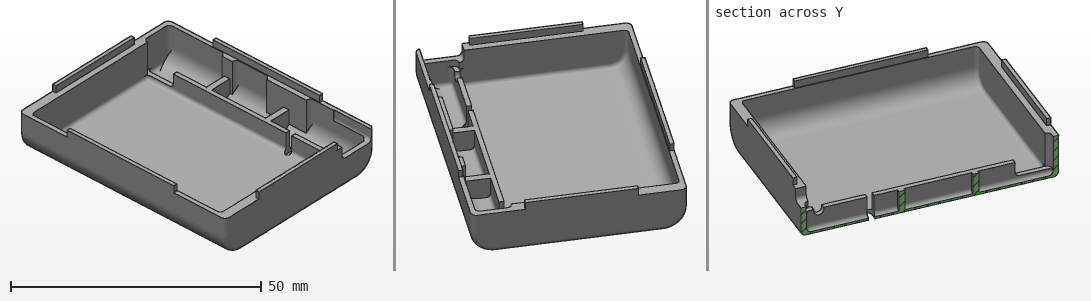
import cadquery as cq
import math

length = 56.0
width = 44.0
total_height = 11.5
lip_height = 1.7
rim_z = total_height - lip_height
long_edge_radius = 5.0
end_edge_radius = 1.2

long_wall = 1.05
end_wall = 1.25
battery_end_wall = 2.3
bay_floor_z = 0.85
channel_floor_z = 0.5
bay_radius = 0.9
channel_radius = 1.0
channel_back_radius = 4.0
bay_front_radius = long_edge_radius - long_wall

front_y = -width / 2 + long_wall
back_y = width / 2 - long_wall

divider_front_y = 13.5
divider_thickness = 1.05
divider_back_y = divider_front_y + divider_thickness
divider_top_z = 5.25

lip_thickness = 0.9
lip_center = -0.5
long_lip_length = 28.95
end_lip_length = 23.1

block_depth = 1.05
rib_width = 1.45
stop_blocks = [(-10.0, 2.85), (6.05, 10.85)]

wire_slot_x = 12.6
wire_slot_width = 1.5
wire_slot_front_y = 12.6
wire_slot_length = 2.9
step_right_x = -18.75
step_bottom_z = 1.9
step_radius = 1.0
groove_x = 23.85
groove_width = 2.2
groove_depth = 1.5
notch_left_x = 17.85
notch_front_y = 12.5
notch_back_y = width / 2 - lip_thickness
notch_bottom_z = 6.85
notch_radius = 1.0


def block(x_range, y_range, z_range):
    """Box given by its limits along each axis."""
    limits = (x_range, y_range, z_range)
    size = [high - low for low, high in limits]
    corner = [low for low, high in limits]
    return cq.Workplane("XY").box(*size, centered=False).translate(tuple(corner))


def outer_body():
    body = block((-length / 2, length / 2), (-width / 2, width / 2), (0, rim_z))
    body = body.edges("|X and <Z").fillet(long_edge_radius)
    end_edges = body.faces("<X or >X").edges("not(|Y and >Z)")
    return end_edges.fillet(end_edge_radius)


def battery_bay():
    """Rounded bay whose rear corners turn square above the divider's top."""
    half = length / 2 - battery_end_wall
    bay = block((-half, half), (front_y, divider_front_y), (bay_floor_z, total_height))
    bay = bay.edges("|X and <Z and <Y").fillet(bay_front_radius)
    bay_edges = bay.faces("<X or >X").edges("not(|Y and >Z)")
    bay_edges = bay_edges.add(bay.edges("|X and <Z").edges(">Y"))
    bay = bay_edges.fillet(bay_radius)
    square_corners = block(
        (-half, half), (divider_front_y - 2 * bay_radius, divider_front_y), (divider_top_z, total_height)
    )
    return bay.union(square_corners)


def rear_channel():
    """Channel behind the divider, opening out over the divider's top."""
    half = length / 2 - end_wall
    lower = block((-half, half), (divider_back_y, back_y), (channel_floor_z, total_height))
    rounded_back = lower.edges("|X and <Z and >Y").fillet(channel_back_radius)
    lower = lower.edges("|Z or <Z").fillet(channel_radius)
    upper = block((-half, half), (divider_front_y, back_y), (divider_top_z, total_height))
    upper = upper.edges("|Z").fillet(channel_radius)
    return lower.intersect(rounded_back).union(upper)


def stop_block(center_x, tip_width):
    """Block flaring into the rear wall through concave arcs, with its rib."""
    tip_y = back_y - block_depth
    root_y = back_y + long_wall / 2
    tip = tip_width / 2
    base = tip + block_depth
    arc_reach = block_depth * math.sqrt(0.5)
    arc_x = base - arc_reach
    arc_y = tip_y + arc_reach
    profile = (
        cq.Workplane("XY").workplane(offset=channel_floor_z)
        .moveTo(-tip, tip_y).lineTo(tip, tip_y)
        .threePointArc((arc_x, arc_y), (base, back_y))
        .lineTo(base, root_y).lineTo(-base, root_y).lineTo(-base, back_y)
        .threePointArc((-arc_x, arc_y), (-tip, tip_y)).close()
    )
    flare = profile.extrude(rim_z - channel_floor_z)
    rib = block(
        (-rib_width / 2, rib_width / 2), (divider_back_y - divider_thickness / 2, back_y),
        (channel_floor_z / 2, divider_top_z),
    )
    return flare.union(rib).translate((center_x, 0, 0))


def add_lips(body):
    """Raise a lip along the outer edge of each of the four walls."""
    x_range = (lip_center - long_lip_length / 2, lip_center + long_lip_length / 2)
    y_range = (lip_center - end_lip_length / 2, lip_center + end_lip_length / 2)
    z_range = (rim_z - lip_height, total_height)
    for low_x in (-length / 2, length / 2 - lip_thickness):
        body = body.union(block((low_x, low_x + lip_thickness), y_range, z_range))
    for low_y in (-width / 2, width / 2 - lip_thickness):
        body = body.union(block(x_range, (low_y, low_y + lip_thickness), z_range))
    return body


def wire_slot():
    center_y = wire_slot_front_y + wire_slot_length / 2
    slot = cq.Workplane("XY").center(wire_slot_x, center_y).slot2D(wire_slot_length, wire_slot_width, 90)
    return slot.extrude(total_height)


def divider_step():
    """Lowered left end of the divider, rounded where it meets the full height."""
    z_range = (step_bottom_z, divider_top_z)
    channel_side = block(
        (-length / 2 + end_wall, step_right_x), (divider_front_y, divider_back_y + channel_radius), z_range
    )
    channel_side = channel_side.edges("|Z and <X and <Y").fillet(channel_radius)
    bay_side = block(
        (-length / 2 + battery_end_wall, step_right_x),
        (divider_front_y - bay_radius, divider_front_y),
        z_range,
    )
    step = channel_side.union(bay_side).clean()
    return step.edges("|Y and >X and <Z").fillet(step_radius)


def divider_groove():
    """Round-bottomed groove across the right end of the divider."""
    radius = groove_width / 2
    center_z = divider_top_z - groove_depth + radius
    y_range = (divider_front_y, divider_back_y)
    groove = block((groove_x - radius, groove_x + radius), y_range, (center_z, divider_top_z))
    round_bottom = (
        cq.Workplane("XZ", origin=(groove_x, divider_back_y, center_z))
        .circle(radius).extrude(divider_thickness)
    )
    return groove.union(round_bottom)


def corner_notch():
    notch = block(
        (notch_left_x, length), (notch_front_y, notch_back_y), (notch_bottom_z, rim_z)
    )
    return notch.edges("|X and <Z").fillet(notch_radius)


result = outer_body().cut(battery_bay()).cut(rear_channel())
for center_x, tip_width in stop_blocks:
    result = result.union(stop_block(center_x, tip_width).intersect(outer_body()))
result = add_lips(result).cut(corner_notch()).cut(wire_slot())
result = result.cut(divider_step()).cut(divider_groove())